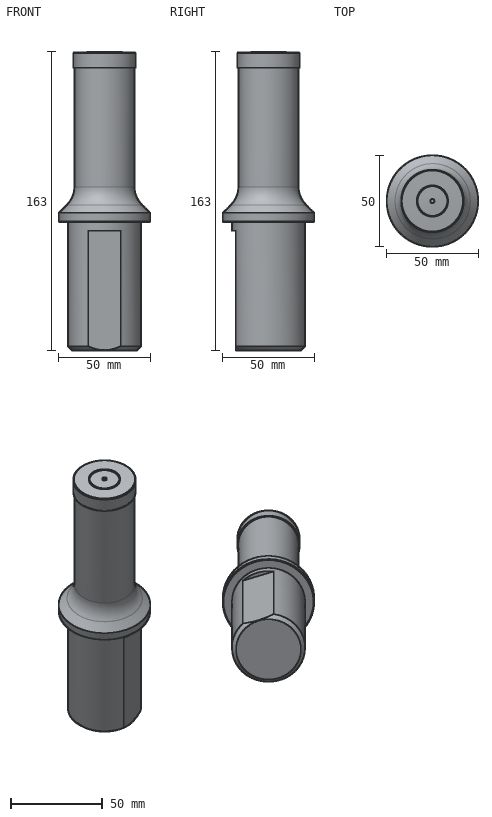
import cadquery as cq
import math

total_height = 163.0

shank_radius = 40.0 / 2
shank_chamfer = 2.3
flange_bottom = 70.0
flange_radius = 50.0 / 2
flange_edge_chamfer = 0.5
flange_rim_top = 75.0
neck_radius = 33.0 / 2
flare_radius = 13.9
flare_angle = math.radians(45)

flat_distance = 18.0
flat_top = 65.2

head_bottom = 154.0
head_radius = 34.2 / 2
head_edge_chamfer = 0.5
crown_height = 0.5
dimple_diameter = 2.3
dimple_depth = 0.5
ring_groove_diameter = 16.6
ring_groove_width = 0.5
ring_groove_depth = 0.7


def make_holder():
    """Revolved holder with a milled clamping flat."""
    shift = flare_radius * (1 - math.cos(flare_angle))
    flare_foot_radius = neck_radius + shift
    flare_foot_z = flange_rim_top + (flange_radius - flare_foot_radius) / math.tan(flare_angle)
    flare_top_z = flare_foot_z + flare_radius * math.sin(flare_angle)
    half_angle = flare_angle / 2
    flare_mid = (
        neck_radius + flare_radius * (1 - math.cos(half_angle)),
        flare_top_z - flare_radius * math.sin(half_angle),
    )
    turned = (
        cq.Workplane("XZ")
        .moveTo(0, 0)
        .lineTo(shank_radius - shank_chamfer, 0)
        .lineTo(shank_radius, shank_chamfer)
        .lineTo(shank_radius, flange_bottom)
        .lineTo(flange_radius - flange_edge_chamfer, flange_bottom)
        .lineTo(flange_radius, flange_bottom + flange_edge_chamfer)
        .lineTo(flange_radius, flange_rim_top)
        .lineTo(flare_foot_radius, flare_foot_z)
        .threePointArc(flare_mid, (neck_radius, flare_top_z))
        .lineTo(neck_radius, head_bottom)
        .lineTo(0, head_bottom)
        .close()
        .revolve(360, (0, 0, 0), (0, 1, 0))
    )
    flat_cutter = (
        cq.Workplane("XY")
        .box(2 * shank_radius, shank_radius, flat_top, centered=(True, False, False))
        .translate((0, -flat_distance - shank_radius, 0))
    )
    return turned.cut(flat_cutter)


def make_head():
    """Crowned disc with a shallow center dimple and a fine ring groove in its face."""
    face_rim_radius = head_radius - head_edge_chamfer
    face_rim_z = total_height - crown_height
    disc = (
        cq.Workplane("XZ")
        .moveTo(0, head_bottom)
        .lineTo(head_radius, head_bottom)
        .lineTo(head_radius, face_rim_z - head_edge_chamfer)
        .lineTo(face_rim_radius, face_rim_z)
        .lineTo(dimple_diameter / 2, total_height)
        .lineTo(0, total_height)
        .close()
        .revolve(360, (0, 0, 0), (0, 1, 0))
    )
    dimple = (
        cq.Workplane("XY", origin=(0, 0, total_height - dimple_depth))
        .circle(dimple_diameter / 2)
        .extrude(dimple_depth)
    )
    groove = (
        cq.Workplane("XY", origin=(0, 0, total_height - ring_groove_depth))
        .circle((ring_groove_diameter + ring_groove_width) / 2)
        .circle((ring_groove_diameter - ring_groove_width) / 2)
        .extrude(ring_groove_depth)
    )
    return disc.cut(dimple).cut(groove)


holder = make_holder()
head = make_head()

result = cq.Compound.makeCompound([holder.val(), head.val()])